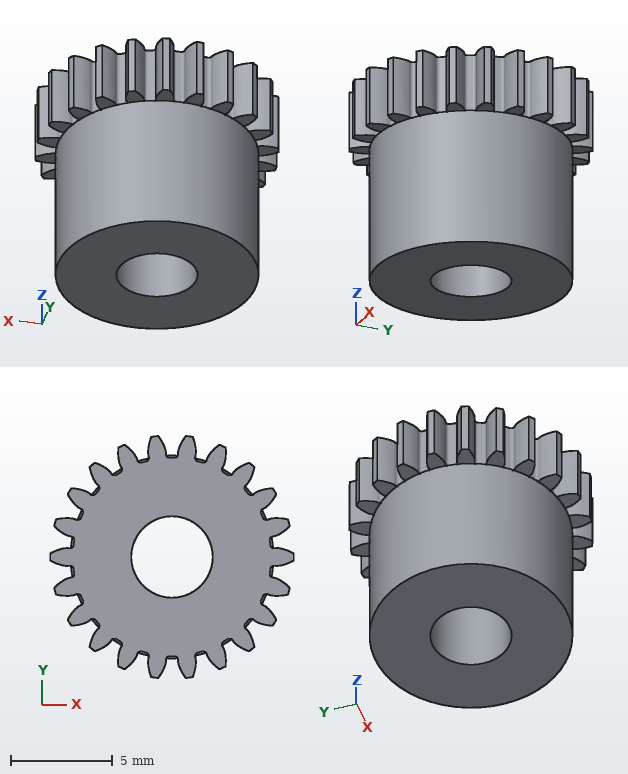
import cadquery as cq
import math

tip_diameter = 12.0
tooth_count = 22
pressure_angle = math.radians(20)
dedendum_factor = 1.25
root_fillet = 0.17
gear_width = 3.0
total_height = 10.0
hub_diameter = 10.0
bore_diameter = 4.0
flank_segments = 6

module = tip_diameter / (tooth_count + 2)
tip_radius = tip_diameter / 2
pitch_radius = module * tooth_count / 2
base_radius = pitch_radius * math.cos(pressure_angle)
root_radius = pitch_radius - dedendum_factor * module
tooth_pitch = 2 * math.pi / tooth_count
hub_height = total_height - gear_width


def involute(angle):
    """Involute function of a pressure angle in radians."""
    return math.tan(angle) - angle


def polar(radius, angle):
    return (radius * math.cos(angle), radius * math.sin(angle))


def half_tooth_angle(radius):
    """Half the angle a tooth spans at a radius on its involute flank."""
    local_pressure_angle = math.acos(base_radius / radius)
    return tooth_pitch / 4 + involute(pressure_angle) - involute(local_pressure_angle)


def flank(center_angle, side):
    """Involute points from base circle to tip; side is -1 or +1 about the tooth center."""
    step = (tip_radius - base_radius) / flank_segments
    radii = [base_radius + step * i for i in range(flank_segments)] + [tip_radius]
    return [polar(r, center_angle + side * half_tooth_angle(r)) for r in radii]


def make_gear():
    """Spur gear with involute flanks that run radially below the base circle."""
    half_base = half_tooth_angle(base_radius)
    gear_plane = cq.Workplane("XY").workplane(offset=hub_height)
    outline = gear_plane.moveTo(*polar(root_radius, -half_base))
    for i in range(tooth_count):
        center = i * tooth_pitch
        rising = flank(center, -1)
        falling = flank(center, 1)[::-1]
        next_root = polar(root_radius, center + tooth_pitch - half_base)
        outline = outline.lineTo(*rising[0])
        outline = outline.spline(rising[1:], includeCurrent=True)
        outline = outline.threePointArc(polar(tip_radius, center), falling[0])
        outline = outline.spline(falling[1:], includeCurrent=True)
        outline = outline.lineTo(*polar(root_radius, center + half_base))
        outline = outline.threePointArc(polar(root_radius, center + tooth_pitch / 2), next_root)
    gear = outline.close().extrude(gear_width)

    corner_limit = (root_radius + base_radius) / 2
    root_corners = [
        edge
        for edge in gear.edges("|Z").vals()
        if math.hypot(edge.Center().x, edge.Center().y) < corner_limit
    ]
    return gear.newObject(root_corners).fillet(root_fillet)


def make_hub():
    return cq.Workplane("XY").circle(hub_diameter / 2).extrude(hub_height)


def make_bore():
    return cq.Workplane("XY").circle(bore_diameter / 2).extrude(total_height)


result = make_gear().union(make_hub()).cut(make_bore())